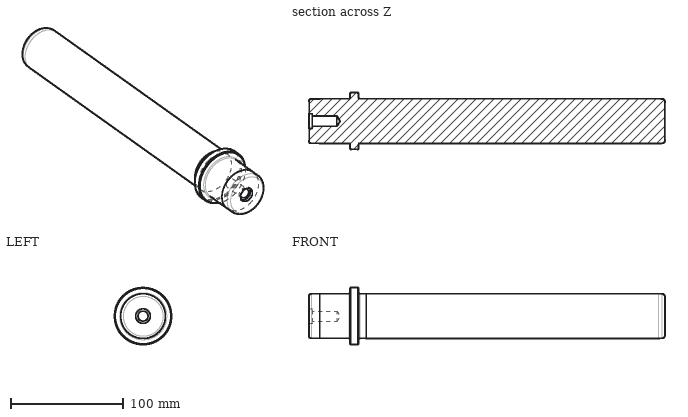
import cadquery as cq
import math

length = 317.0
pillar_diameter = 40.0
pillar_radius = pillar_diameter / 2

mount_round = 2.2
mount_lead_in_length = 9.8
mount_lead_in_drop = 0.05
guide_round = 3.0
guide_lead_in_length = 6.2
guide_lead_in_drop = 0.1

seat_end = 51.2
seat_undersize = 0.05
seat_radius = pillar_radius - seat_undersize

collar_diameter = 51.0
collar_start = 36.6
collar_width = 7.8
collar_chamfer = 0.8
collar_root_fillet = 1.0
root_margin = 0.1

counterbore_diameter = 13.0
counterbore_depth = 3.0
hole_diameter = 9.0
hole_depth = 25.0
drill_point_angle = 118.0
drill_point_depth = hole_diameter / 2 / math.tan(math.radians(drill_point_angle / 2))


def make_bar():
    """Revolve the bar outline, from the mounting end face to the guide end face."""
    mount_end_radius = seat_radius - mount_lead_in_drop
    guide_end_radius = pillar_radius - guide_lead_in_drop
    corner = 1 - math.sin(math.radians(45))
    return (
        cq.Workplane("XZ")
        .lineTo(0, mount_end_radius - mount_round)
        .threePointArc(
            (mount_round * corner, mount_end_radius - mount_round * corner),
            (mount_round, mount_end_radius),
        )
        .lineTo(mount_lead_in_length, mount_end_radius)
        .lineTo(mount_lead_in_length, seat_radius)
        .lineTo(seat_end, seat_radius)
        .lineTo(seat_end, pillar_radius)
        .lineTo(length - guide_lead_in_length, pillar_radius)
        .lineTo(length - guide_round, guide_end_radius)
        .threePointArc(
            (length - guide_round * corner, guide_end_radius - guide_round * corner),
            (length, guide_end_radius - guide_round),
        )
        .lineTo(length, 0)
        .close()
        .revolve(360, (0, 0, 0), (1, 0, 0))
    )


def add_collar(bar):
    """Join the chamfered collar to the bar and fillet both of its roots."""
    collar = (
        cq.Workplane("YZ", origin=(collar_start, 0, 0))
        .circle(collar_diameter / 2)
        .extrude(collar_width)
        .edges()
        .chamfer(collar_chamfer)
    )
    root_box = cq.selectors.BoxSelector(
        (collar_start - root_margin, -pillar_radius, -pillar_radius),
        (collar_start + collar_width + root_margin, pillar_radius, pillar_radius),
        boundingbox=True,
    )
    return bar.union(collar).edges("%CIRCLE").edges(root_box).fillet(collar_root_fillet)


def make_hole():
    """Revolve the space of the counterbore, hole and drill point."""
    hole_radius = hole_diameter / 2
    counterbore_radius = counterbore_diameter / 2
    return (
        cq.Workplane("XZ")
        .lineTo(0, counterbore_radius)
        .lineTo(counterbore_depth, counterbore_radius)
        .lineTo(counterbore_depth, hole_radius)
        .lineTo(hole_depth, hole_radius)
        .lineTo(hole_depth + drill_point_depth, 0)
        .close()
        .revolve(360, (0, 0, 0), (1, 0, 0))
    )


result = add_collar(make_bar()).cut(make_hole())